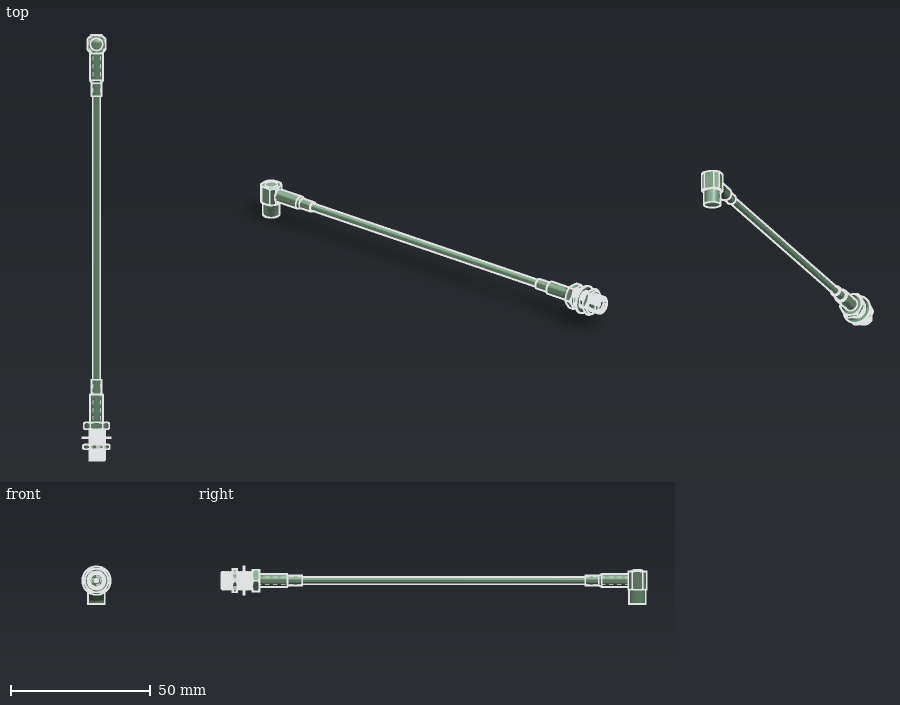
import cadquery as cq
import math

OVERALL_LENGTH = 152.4
OVERALL_HEIGHT = 13.5

PLUG_DIAMETER = 6.1
BLOCK_WIDTH = 6.7
BLOCK_CORNER_CUT = 1.5
BLOCK_FACE_DIAMETER = 6.4
BLOCK_BEVEL_DROP = 0.5
CAP_DIAMETER = 4.4
CAP_HEIGHT = 0.6

CABLE_DIAMETER = 2.7
BOOT_LARGE_DIAMETER = 4.7
BOOT_SMALL_DIAMETER = 3.7
BOOT_LENGTH = 10.0
PLUG_BOOT_SHOULDER = 6.2
PLUG_BOOT_TAPER = 0.7
JACK_BOOT_SHOULDER = 6.5
JACK_BOOT_TAPER = 0.1

THREAD_DIAMETER = 6.4
THREAD_PITCH = 0.7
THREAD_DEPTH = 0.43
THREAD_FLAT_X = -2.6
THREAD_END_CHAMFER = 0.5
FLANGE_START = 11.1
FLANGE_END = 13.7
FLANGE_ACROSS_FLATS = 8.0
SOCKET_DIAMETER = 4.7
SOCKET_DEPTH = 1.5
CONTACT_DIAMETER = 1.26
CONTACT_BORE = 0.9
CONTACT_LENGTH = 3.0
CONTACT_BORE_DEPTH = 1.5

HEX_BEVEL_SLOPE = math.tan(math.radians(30))

NUT_ACROSS_FLATS = 8.4
NUT_START = 4.0
NUT_END = 5.8
WASHER_DIAMETER = 10.2
WASHER_START = 8.0
WASHER_END = 8.4

BLOCK_FRONT = OVERALL_LENGTH - BLOCK_WIDTH
PLUG_AXIS_Y = OVERALL_LENGTH - BLOCK_WIDTH / 2
PLUG_BOTTOM = WASHER_DIAMETER / 2 - OVERALL_HEIGHT
CONTACT_END = SOCKET_DEPTH + CONTACT_LENGTH


def revolve_about_cable(points):
    """Revolve an outline of (radius, y) points about the cable axis."""
    return cq.Workplane("XY").polyline(points).close().revolve(360, (0, 0, 0), (0, 1, 0))


def rod(diameter, start, end):
    """Cylinder on the cable axis between two Y positions."""
    return cq.Workplane("XZ", origin=(0, start, 0)).circle(diameter / 2).extrude(start - end)


def hexagon(across_flats, start, end):
    """Hexagonal prism with two corners level with the cable axis and its corners bevelled at both ends."""
    corner_diameter = across_flats / math.cos(math.pi / 6)
    prism = cq.Workplane("XZ", origin=(0, start, 0)).polygon(6, corner_diameter).extrude(start - end)
    face = across_flats / 2
    corner = corner_diameter / 2
    drop = (corner - face) * HEX_BEVEL_SLOPE
    envelope = revolve_about_cable(
        [(0, start), (face, start), (corner, start + drop), (corner, end - drop), (face, end), (0, end)]
    )
    return prism.intersect(envelope)


def revolve_about_plug(profile):
    """Revolve a closed profile about the plug's vertical axis."""
    return profile.close().revolve(360, (0, 0, 0), (0, 1, 0))


def make_block():
    """Octagonal block whose corners are bevelled above and below."""
    half = BLOCK_WIDTH / 2
    octagon = (
        cq.Workplane("XY", origin=(0, PLUG_AXIS_Y, -half))
        .rect(BLOCK_WIDTH, BLOCK_WIDTH)
        .extrude(BLOCK_WIDTH)
        .edges("|Z")
        .chamfer(BLOCK_CORNER_CUT)
    )
    face = BLOCK_FACE_DIAMETER / 2
    reach = half * math.sqrt(2)
    shoulder = half - BLOCK_BEVEL_DROP
    envelope = cq.Workplane("XZ", origin=(0, PLUG_AXIS_Y, 0)).polyline(
        [(0, -half), (face, -half), (reach, -shoulder), (reach, shoulder), (face, half), (0, half)]
    )
    return octagon.intersect(revolve_about_plug(envelope))


def make_cap():
    """Spherical dome on top of the block."""
    edge = CAP_DIAMETER / 2
    sphere_radius = (edge**2 + CAP_HEIGHT**2) / (2 * CAP_HEIGHT)
    middle = edge / 2
    middle_height = CAP_HEIGHT - sphere_radius + math.sqrt(sphere_radius**2 - middle**2)
    profile = (
        cq.Workplane("XZ", origin=(0, PLUG_AXIS_Y, BLOCK_WIDTH / 2))
        .lineTo(edge, 0)
        .threePointArc((middle, middle_height), (0, CAP_HEIGHT))
    )
    return revolve_about_plug(profile)


def make_elbow():
    plug_height = -BLOCK_WIDTH / 2 - PLUG_BOTTOM
    plug = (
        cq.Workplane("XY", origin=(0, PLUG_AXIS_Y, PLUG_BOTTOM))
        .circle(PLUG_DIAMETER / 2)
        .extrude(plug_height)
    )
    return make_block().union(plug).union(make_cap())


def make_boot(anchor, direction, shoulder_distance, taper):
    """Stepped sleeve that starts at the connector and narrows along the cable."""
    bore = CABLE_DIAMETER / 2
    large = BOOT_LARGE_DIAMETER / 2
    small = BOOT_SMALL_DIAMETER / 2
    shoulder = anchor + direction * shoulder_distance
    neck = shoulder + direction * taper
    tip = anchor + direction * BOOT_LENGTH
    return revolve_about_cable(
        [(bore, anchor), (large, anchor), (large, shoulder), (small, neck), (small, tip), (bore, tip)]
    )


def make_threaded_barrel():
    """Barrel with ring-shaped V grooves for the thread and one flat along its -X side."""
    crest = THREAD_DIAMETER / 2
    root = crest - THREAD_DEPTH
    outline = [(0, FLANGE_START), (0, 0), (crest - THREAD_END_CHAMFER, 0), (crest, THREAD_END_CHAMFER)]
    groove_count = int((FLANGE_START - THREAD_END_CHAMFER) / THREAD_PITCH)
    for i in range(groove_count):
        groove_start = THREAD_END_CHAMFER + i * THREAD_PITCH
        outline.append((root, groove_start + THREAD_PITCH / 2))
        outline.append((crest, groove_start + THREAD_PITCH))
    outline.append((crest, FLANGE_START))
    beyond_flat = (
        cq.Workplane("XZ")
        .center(THREAD_FLAT_X - THREAD_DIAMETER / 2, 0)
        .rect(THREAD_DIAMETER, THREAD_DIAMETER)
        .extrude(-FLANGE_START)
    )
    return revolve_about_cable(outline).cut(beyond_flat)


def make_jack():
    flange = hexagon(FLANGE_ACROSS_FLATS, FLANGE_START, FLANGE_END)
    socket = rod(SOCKET_DIAMETER, 0, SOCKET_DEPTH)
    contact_hole = rod(CONTACT_DIAMETER, SOCKET_DEPTH, CONTACT_END)
    return make_threaded_barrel().union(flange).cut(socket).cut(contact_hole)


def make_contact():
    """Pin with a blind bore, flush with the floor of the jack's socket."""
    pin = rod(CONTACT_DIAMETER, SOCKET_DEPTH, CONTACT_END)
    return pin.cut(rod(CONTACT_BORE, SOCKET_DEPTH, SOCKET_DEPTH + CONTACT_BORE_DEPTH))


def make_nut():
    return hexagon(NUT_ACROSS_FLATS, NUT_START, NUT_END).cut(rod(THREAD_DIAMETER, NUT_START, NUT_END))


def make_washer():
    disc = rod(WASHER_DIAMETER, WASHER_START, WASHER_END)
    return disc.cut(rod(THREAD_DIAMETER, WASHER_START, WASHER_END))


elbow = make_elbow()
cable = rod(CABLE_DIAMETER, FLANGE_END, BLOCK_FRONT)
plug_boot = make_boot(BLOCK_FRONT, -1.5, PLUG_BOOT_SHOULDER, PLUG_BOOT_TAPER)
jack_boot = make_boot(FLANGE_END, 1.5, JACK_BOOT_SHOULDER, JACK_BOOT_TAPER)
jack = make_jack()
contact = make_contact()
nut = make_nut()
washer = make_washer()

result = cq.Compound.makeCompound(
    [body.val() for body in (elbow, cable, plug_boot, jack_boot, jack, contact, nut, washer)]
)